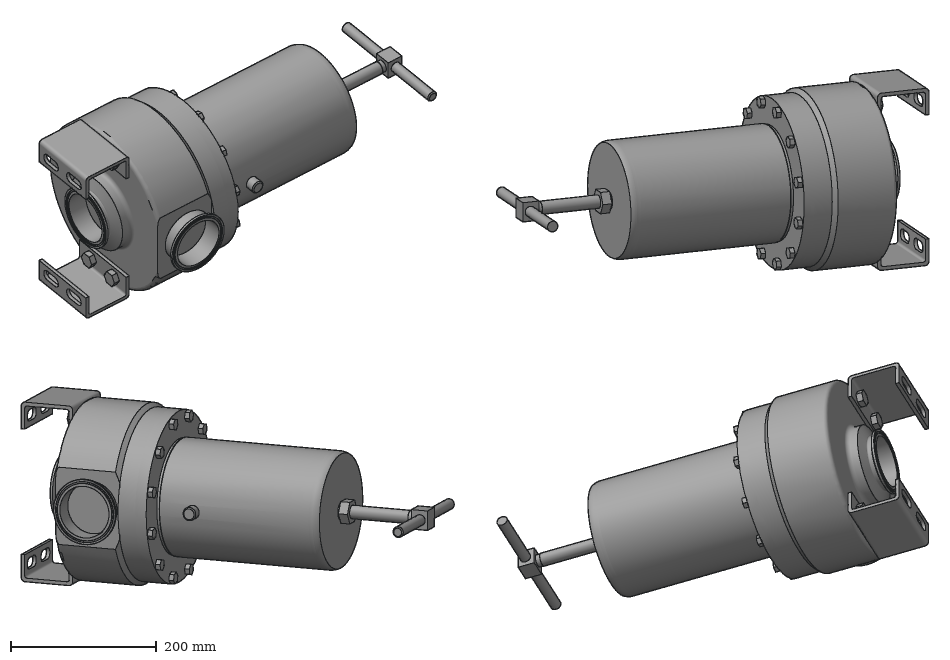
import cadquery as cq
import math


BODY_RADIUS = 126.5
BODY_FRONT_ROUND = 6.0
BODY_TAPER_START = 88.5
BODY_END = 95.0
PORT_FLAT_X = 114.0

FLANGE_RADIUS = 121.0
FLANGE_JOINT = 121.0
FLANGE_END = 136.5
FLANGE_BOLT_COUNT = 12
FLANGE_BOLT_CIRCLE_RADIUS = 112.0
FLANGE_BOLT_RADIUS = 8.0
FLANGE_BOLT_HEIGHT = 7.0

BARREL_RADIUS = 82.5
BARREL_FOOT_RADIUS = 81.5
BARREL_FOOT_HEIGHT = 4.0
BARREL_END = 377.0
CAP_SEAM_Y = 362.0
CAP_ROUND_LENGTH = 9.0
CAP_FACE_RADIUS = 80.0

COLLAR_RADIUS = 12.5
NUT_START = 380.0
NUT_END = 393.0
NUT_ACROSS_FLATS = 30.5
SCREW_RADIUS = 9.5
SCREW_END = 479.5
SCREW_NECK_RADIUS = 9.0
HANDLE_BLOCK_WIDTH = 26.0
HANDLE_BLOCK_HEIGHT = 27.5
HANDLE_BLOCK_LENGTH = 24.0
HANDLE_BLOCK_END = 510.0
HANDLE_BAR_RADIUS = 7.5
HANDLE_BAR_LENGTH = 190.5
HANDLE_BAR_Y = 498.5
PIN_END_CHAMFER = 2.0

VENT_RADIUS = 9.5
VENT_Y = 190.5
VENT_END_X = 97.0

TUBE_RADIUS = 38.5
BORE_RADIUS = 36.5
FERRULE_RADIUS = 45.5
FERRULE_RIM = 3.5
FERRULE_BEVEL = 3.0
GASKET_GROOVE_INNER_RADIUS = 40.5
GASKET_GROOVE_OUTER_RADIUS = 43.0
GASKET_GROOVE_DEPTH = 1.0
BORE_DEPTH = 29.5
FRONT_PORT_LENGTH = 36.0
SIDE_PORT_END_X = 138.0
SIDE_PORT_Y = 52.0

HUB_RADIUS = 57.5
HUB_ROOT_FILLET = 6.5
HUB_SHOULDER = 16.5
HUB_CONE_END = 23.0
HUB_CONE_END_RADIUS = 40.5

BRACKET_WIDTH = 103.0
BRACKET_DEPTH = 76.0
BRACKET_LEG = 38.0
BRACKET_THICKNESS = 5.0
BEND_OUTER_RADIUS = 6.0
BEND_INNER_RADIUS = 3.5
SLOT_LENGTH = 32.0
SLOT_HEIGHT = 16.0
SLOT_X = 25.0
SLOT_Z = 104.5
BRACKET_BOLT_ACROSS_FLATS = 20.0
BRACKET_BOLT_HEIGHT = 9.0


def across_corners(across_flats):
    return 2 * across_flats / math.sqrt(3)


def y_plane(y):
    """Sketch plane at the given Y with local x along X, local y along Z; a negative extrusion goes to +Y."""
    return cq.Workplane("XZ", origin=(0, y, 0))


def y_cylinder(radius, start, end):
    return y_plane(start).circle(radius).extrude(start - end)


def revolve_about_y(points):
    """Solid of revolution from (radius, y) points."""
    return cq.Workplane("XY").polyline(points).close().revolve(360, (0, 0, 0), (0, 1, 0))


def make_body():
    body = (
        cq.Workplane("XY")
        .moveTo(0, 0)
        .lineTo(BODY_RADIUS - BODY_FRONT_ROUND, 0)
        .tangentArcPoint((BODY_RADIUS, BODY_FRONT_ROUND), relative=False)
        .lineTo(BODY_RADIUS, BODY_TAPER_START)
        .lineTo(FLANGE_RADIUS, BODY_END)
        .lineTo(0, BODY_END)
        .close()
        .revolve(360, (0, 0, 0), (0, 1, 0))
    )
    beyond_flat = cq.Workplane("XY").box(
        BODY_RADIUS, BODY_END, 2 * BODY_RADIUS, centered=(False, False, True)
    ).translate((PORT_FLAT_X, 0, 0))
    return body.cut(beyond_flat)


def make_flange():
    flange = y_cylinder(FLANGE_RADIUS, BODY_END, FLANGE_JOINT)
    flange = flange.union(y_cylinder(FLANGE_RADIUS, FLANGE_JOINT, FLANGE_END), clean=False)
    pitch = 360 / FLANGE_BOLT_COUNT
    bolt = (
        y_plane(FLANGE_END)
        .polygon(6, 2 * FLANGE_BOLT_RADIUS)
        .extrude(-FLANGE_BOLT_HEIGHT)
        .translate((FLANGE_BOLT_CIRCLE_RADIUS, 0, 0))
    )
    for index in range(FLANGE_BOLT_COUNT):
        angle = (index + 0.5) * pitch
        flange = flange.union(bolt.rotate((0, 0, 0), (0, 1, 0), angle), clean=False)
    return flange


def make_barrel():
    foot_end = FLANGE_END + BARREL_FOOT_HEIGHT
    cap_round_start = BARREL_END - CAP_ROUND_LENGTH
    barrel = y_cylinder(BARREL_FOOT_RADIUS, FLANGE_END, foot_end)
    barrel = barrel.union(y_cylinder(BARREL_RADIUS, foot_end, CAP_SEAM_Y))
    cap = (
        cq.Workplane("XY")
        .moveTo(0, CAP_SEAM_Y)
        .lineTo(BARREL_RADIUS, CAP_SEAM_Y)
        .lineTo(BARREL_RADIUS, cap_round_start)
        .tangentArcPoint((CAP_FACE_RADIUS, BARREL_END), relative=False)
        .lineTo(0, BARREL_END)
        .close()
        .revolve(360, (0, 0, 0), (0, 1, 0))
    )
    return barrel.union(cap, clean=False)


def make_screw_and_handle():
    block_start = HANDLE_BLOCK_END - HANDLE_BLOCK_LENGTH
    collar = y_cylinder(COLLAR_RADIUS, BARREL_END, NUT_START)
    nut = y_plane(NUT_START).polygon(6, across_corners(NUT_ACROSS_FLATS)).extrude(NUT_START - NUT_END)
    screw = y_cylinder(SCREW_RADIUS, NUT_END, SCREW_END)
    neck = y_cylinder(SCREW_NECK_RADIUS, SCREW_END, block_start)
    block = y_plane(block_start).rect(HANDLE_BLOCK_WIDTH, HANDLE_BLOCK_HEIGHT).extrude(-HANDLE_BLOCK_LENGTH)
    bar = (
        cq.Workplane("YZ", origin=(-HANDLE_BAR_LENGTH / 2, HANDLE_BAR_Y, 0))
        .circle(HANDLE_BAR_RADIUS)
        .extrude(HANDLE_BAR_LENGTH)
        .faces(">X")
        .chamfer(PIN_END_CHAMFER)
    )
    return collar.union(nut).union(screw).union(neck).union(block).union(bar)


def make_vent():
    return (
        cq.Workplane("YZ", origin=(0, VENT_Y, 0))
        .circle(VENT_RADIUS)
        .extrude(VENT_END_X)
        .faces(">X")
        .chamfer(PIN_END_CHAMFER)
    )


def make_ferrule(length):
    """Tube and clamp rim pointing to -Y, from Y = 0 to Y = -length."""
    rim_start = length - FERRULE_RIM
    ferrule = revolve_about_y([
        (0, 0),
        (TUBE_RADIUS, 0),
        (TUBE_RADIUS, FERRULE_BEVEL - rim_start),
        (FERRULE_RADIUS, -rim_start),
        (FERRULE_RADIUS, -length),
        (0, -length),
    ])
    groove = (
        y_plane(-length)
        .circle(GASKET_GROOVE_OUTER_RADIUS)
        .circle(GASKET_GROOVE_INNER_RADIUS)
        .extrude(-GASKET_GROOVE_DEPTH)
    )
    return ferrule.cut(groove)


def make_bore(length):
    """Blind bore running inward from the open end of a ferrule of the given length."""
    return y_cylinder(BORE_RADIUS, -length, BORE_DEPTH - length)


def make_hub():
    tube_root_fillet = HUB_CONE_END_RADIUS - TUBE_RADIUS
    return (
        cq.Workplane("XY")
        .moveTo(0, 0)
        .lineTo(HUB_RADIUS + HUB_ROOT_FILLET, 0)
        .radiusArc((HUB_RADIUS, -HUB_ROOT_FILLET), -HUB_ROOT_FILLET)
        .lineTo(HUB_RADIUS, -HUB_SHOULDER)
        .lineTo(HUB_CONE_END_RADIUS, -HUB_CONE_END)
        .radiusArc((TUBE_RADIUS, -HUB_CONE_END - tube_root_fillet), -tube_root_fillet)
        .lineTo(0, -HUB_CONE_END - tube_root_fillet)
        .close()
        .revolve(360, (0, 0, 0), (0, 1, 0))
    )


def turn_to_side_port(shape):
    """Move a shape pointing to -Y onto the body flat, pointing to +X."""
    return shape.rotate((0, 0, 0), (0, 0, 1), 90).translate((PORT_FLAT_X, SIDE_PORT_Y, 0))


def make_bracket():
    """Upper bracket: a C channel open toward the axis, with two slots and two hex bolts."""
    inner_depth = BRACKET_DEPTH - 2 * BRACKET_THICKNESS
    outer = (
        cq.Workplane("XY")
        .box(BRACKET_WIDTH, BRACKET_DEPTH, BRACKET_LEG)
        .edges("|X and >Z")
        .fillet(BEND_OUTER_RADIUS)
    )
    inner = (
        cq.Workplane("XY")
        .box(BRACKET_WIDTH, inner_depth, BRACKET_LEG)
        .edges("|X and >Z")
        .fillet(BEND_INNER_RADIUS)
        .translate((0, 0, -BRACKET_THICKNESS))
    )
    bracket = outer.cut(inner).translate((0, -BRACKET_DEPTH / 2, BODY_RADIUS - BRACKET_LEG / 2))

    fastener_places = [(-SLOT_X, SLOT_Z), (SLOT_X, SLOT_Z)]
    slots = (
        y_plane(-BRACKET_DEPTH)
        .pushPoints(fastener_places)
        .slot2D(SLOT_LENGTH, SLOT_HEIGHT)
        .extrude(-BRACKET_THICKNESS)
    )
    bolts = (
        y_plane(-BRACKET_THICKNESS)
        .pushPoints(fastener_places)
        .polygon(6, across_corners(BRACKET_BOLT_ACROSS_FLATS))
        .extrude(BRACKET_BOLT_HEIGHT)
    )
    return bracket.cut(slots).union(bolts)


side_port_length = SIDE_PORT_END_X - PORT_FLAT_X
upper_bracket = make_bracket()

result = make_body()
result = result.union(make_flange(), clean=False)
result = result.union(make_barrel(), clean=False)
result = result.union(make_screw_and_handle(), clean=False)
result = result.union(make_vent(), clean=False)
result = result.union(make_hub(), clean=False)
result = result.union(make_ferrule(FRONT_PORT_LENGTH), clean=False)
result = result.union(turn_to_side_port(make_ferrule(side_port_length)), clean=False)
result = result.union(upper_bracket, clean=False)
result = result.union(upper_bracket.mirror("XY"), clean=False)
result = result.cut(make_bore(FRONT_PORT_LENGTH), clean=False)
result = result.cut(turn_to_side_port(make_bore(side_port_length)), clean=False)